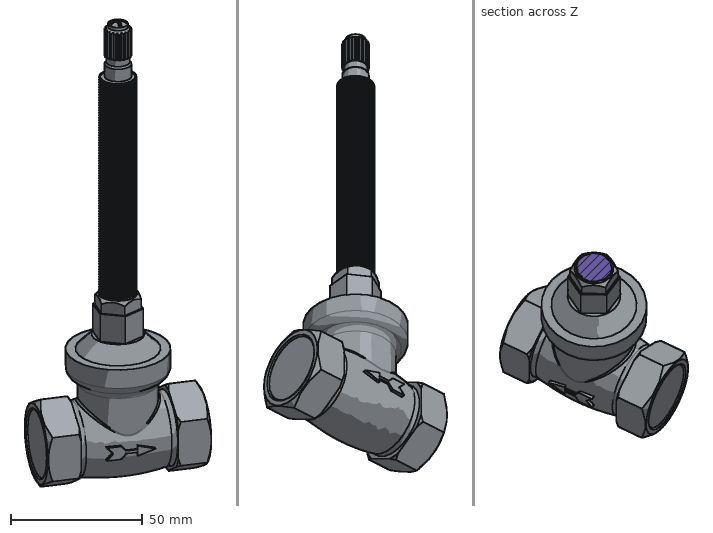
import cadquery as cq
import math


total_height = 190.8

half_length = 32.5
nut_length = 13.2
nut_flats = 31.7
nut_corner_radius = nut_flats / 2 / math.cos(math.pi / 6)
nut_face_radius = 15.6
nut_face_chamfer = 1.7
nut_back_radius = 17.0
nut_back_chamfer = 1.0
port_radius = 13.7
port_floor_radius = 13.2
port_depth = 0.5
barrel_middle_radius = 16.5
barrel_end_radius = 14.9
barrel_half_length = 17.0
groove_radius = 14.5

arrow_face_x = 17.4
arrow_root_x = 15.3
arrow_tip_y = 9.7
arrow_head_y = 2.7
arrow_neck_y = -2.0
arrow_fin_y = -3.8
arrow_notch_y = -7.0
arrow_tail_y = -9.5
arrow_head_half_width = 2.1
arrow_shaft_half_width = 0.5
arrow_tail_half_width = 2.7

neck_radius = 15.5
neck_barrel_fillet = 1.0
flange_radius = 20.0
flange_top_z = 35.7
flange_round_z = 28.0
flange_round_end_radius = 17.4
flange_round_end_z = 24.6
neck_top_z = 21.7
bonnet_base_radius = 16.2
bonnet_top_radius = 10.1
bonnet_top_z = 41.8

big_hex_flats = 17.2
big_hex_top_z = 53.2
small_hex_flats = 15.8
small_hex_top_z = 58.8
small_hex_chamfer = 1.7
small_hex_crown_radius = 7.5

thread_radius = 7.2
thread_root_radius = 6.7
thread_turns = 86
thread_top_z = 149.4

stem_radius = 5.2
stem_shoulder_z = 155.3
stem_chamfer = 0.8
stem_neck_radius = 4.48
spline_bottom_z = 158.1
spline_top_z = 169.0
spline_root_radius = 4.5
spline_count = 18
spline_valley_width = 1.1
tip_base_z = 170.0
tip_radius = 3.8
tip_crown_radius = 1.5
tip_shoulder_z = 171.3
top_z = total_height - nut_corner_radius
cross_length = 6.1
cross_width = 1.1
cross_depth = 1.1

overlap = 1.0


def hexagon(flats, bottom_z, top_z):
    """Upright hexagonal prism with corners on the X axis."""
    corners = flats / math.cos(math.pi / 6)
    return cq.Workplane("XY").workplane(offset=bottom_z).polygon(6, corners).extrude(top_z - bottom_z)


def turned(points):
    """Solid turned about Z from (radius, z) points that start and end on the axis."""
    return cq.Workplane("XZ").polyline(points).close().revolve(360, (0, 0, 0), (0, 1, 0))


def end_nut():
    """Hexagonal end on the +Y side, corners up and down, with both rims chamfered."""
    back_y = half_length - nut_length
    prism = (
        cq.Workplane("XZ", origin=(0, half_length, 0))
        .polygon(6, 2 * nut_corner_radius)
        .extrude(nut_length)
        .rotate((0, 0, 0), (0, 1, 0), 30)
    )
    envelope = (
        cq.Workplane("XY")
        .moveTo(0, back_y)
        .lineTo(nut_back_radius, back_y)
        .lineTo(nut_corner_radius, back_y + nut_back_chamfer)
        .lineTo(nut_corner_radius, half_length - nut_face_chamfer)
        .lineTo(nut_face_radius, half_length)
        .lineTo(port_radius, half_length)
        .lineTo(port_floor_radius, half_length - port_depth)
        .lineTo(0, half_length - port_depth)
        .close()
        .revolve(360, (0, 0, 0), (0, 1, 0))
    )
    return prism.intersect(envelope)


def barrel():
    """Bulged barrel about the Y axis with a shallow round groove at each end."""
    nut_back_y = half_length - nut_length
    groove_y = (barrel_half_length + nut_back_y) / 2
    return (
        cq.Workplane("XY")
        .moveTo(0, -nut_back_y)
        .lineTo(barrel_end_radius, -nut_back_y)
        .threePointArc((groove_radius, -groove_y), (barrel_end_radius, -barrel_half_length))
        .threePointArc((barrel_middle_radius, 0), (barrel_end_radius, barrel_half_length))
        .threePointArc((groove_radius, groove_y), (barrel_end_radius, nut_back_y))
        .lineTo(0, nut_back_y)
        .close()
        .revolve(360, (0, 0, 0), (0, 1, 0))
    )


def neck_and_bonnet():
    """Neck, flange with an S-shaped underside, and conical bonnet."""
    return (
        cq.Workplane("XZ")
        .lineTo(neck_radius, 0)
        .lineTo(neck_radius, neck_top_z)
        .tangentArcPoint((flange_round_end_radius, flange_round_end_z), relative=False)
        .tangentArcPoint((flange_radius, flange_round_z), relative=False)
        .lineTo(flange_radius, flange_top_z)
        .lineTo(bonnet_base_radius, flange_top_z)
        .lineTo(bonnet_top_radius, bonnet_top_z)
        .lineTo(0, bonnet_top_z)
        .close()
        .revolve(360, (0, 0, 0), (0, 1, 0))
    )


def flow_arrow():
    """Arrow raised on the -X side, pointing along +Y."""
    upper = [
        (arrow_tip_y, 0),
        (arrow_head_y, arrow_head_half_width),
        (arrow_head_y, arrow_shaft_half_width),
        (arrow_neck_y, arrow_shaft_half_width),
        (arrow_fin_y, arrow_tail_half_width),
        (arrow_tail_y, arrow_tail_half_width),
        (arrow_notch_y, 0),
    ]
    lower = [(y, -z) for y, z in reversed(upper[1:-1])]
    return (
        cq.Workplane("YZ", origin=(-arrow_face_x, 0, 0))
        .polyline(upper + lower)
        .close()
        .extrude(arrow_face_x - arrow_root_x)
    )


def bonnet_hexagons():
    """Large hexagon with a smaller, crowned hexagon on top."""
    small_corner_radius = small_hex_flats / 2 / math.cos(math.pi / 6)
    crown = turned([
        (0, big_hex_top_z - overlap),
        (small_corner_radius, big_hex_top_z - overlap),
        (small_corner_radius, small_hex_top_z - small_hex_chamfer),
        (small_hex_crown_radius, small_hex_top_z),
        (0, small_hex_top_z),
    ])
    small_hex = hexagon(small_hex_flats, big_hex_top_z - overlap, small_hex_top_z)
    big_hex = hexagon(big_hex_flats, bonnet_top_z - overlap, big_hex_top_z)
    return big_hex.union(small_hex.intersect(crown))


def threaded_tube():
    """Single-start V thread: an off-round section twisted through one turn, stacked turn on turn."""
    pitch = (thread_top_z - small_hex_top_z) / thread_turns
    middle_radius = (thread_radius + thread_root_radius) / 2
    turn = (
        cq.Workplane("XY", origin=(0, 0, small_hex_top_z))
        .moveTo(thread_radius, 0)
        .threePointArc((0, middle_radius), (-thread_root_radius, 0))
        .threePointArc((0, -middle_radius), (thread_radius, 0))
        .close()
        .twistExtrude(pitch, 360)
    )
    end_faces = turn.faces("<Z").vals()
    end_faces += turn.faces(">Z").translate((0, 0, (thread_turns - 1) * pitch)).vals()
    flanks = turn.faces("not(<Z or >Z)")
    skin = []
    for index in range(thread_turns):
        skin += flanks.translate((0, 0, index * pitch)).vals()
    shell = cq.Shell.makeShell(end_faces + skin)
    return cq.Workplane(cq.Solid.makeSolid(shell))


def stem():
    """Plain stem, its relief neck, the splined drive and the cross-slotted conical tip."""
    body = turned([
        (0, thread_top_z),
        (stem_radius, thread_top_z),
        (stem_radius, stem_shoulder_z - stem_chamfer),
        (stem_neck_radius, stem_shoulder_z),
        (stem_neck_radius, spline_bottom_z),
        (stem_radius, spline_bottom_z),
        (stem_radius, spline_top_z),
        (tip_radius, tip_base_z),
        (tip_radius, tip_shoulder_z),
        (tip_crown_radius, top_z),
        (0, top_z),
    ])
    half_width = spline_valley_width / 2
    valley = (
        cq.Workplane("XY")
        .workplane(offset=spline_bottom_z)
        .polyline([(spline_root_radius, 0), (stem_radius, half_width), (stem_radius, -half_width)])
        .close()
        .extrude(tip_base_z - spline_bottom_z)
    )
    for index in range(spline_count):
        body = body.cut(valley.rotate((0, 0, 0), (0, 0, 1), index * 360 / spline_count))
    slot = cq.Workplane("XY").workplane(offset=top_z - cross_depth)
    for size in ((cross_length, cross_width), (cross_width, cross_length)):
        body = body.cut(slot.rect(*size).extrude(cross_depth))
    return body


tee = barrel().union(neck_and_bonnet()).edges("%BSPLINE").fillet(neck_barrel_fillet)
nut = end_nut()
arrow = flow_arrow()
result = (
    tee.union(nut)
    .union(nut.mirror("XZ"))
    .union(arrow)
    .union(arrow.mirror("YZ"))
    .union(bonnet_hexagons())
    .union(threaded_tube())
    .union(stem())
)